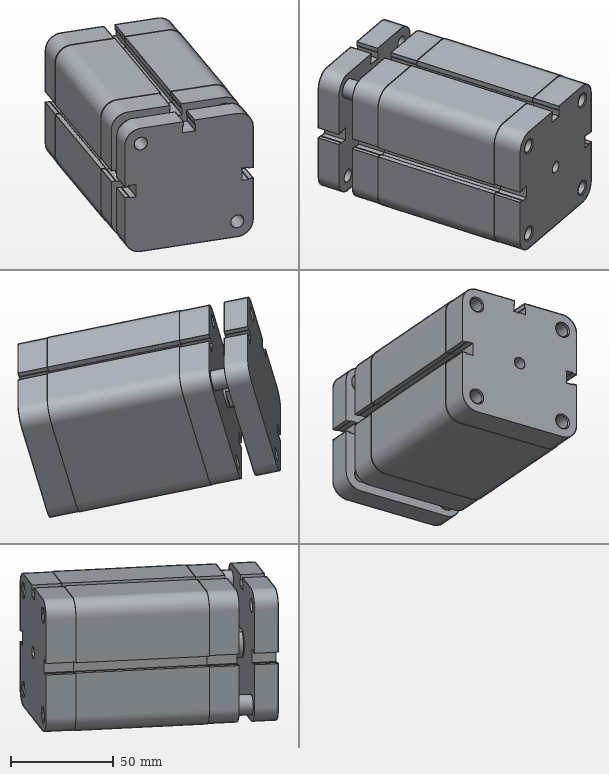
import cadquery as cq


total_length = 115.5
cap_length = 14.8
plate_length = 11.9
gap_length = 7.6
housing_length = total_length - plate_length - gap_length
tube_length = housing_length - 2 * cap_length
front_cap_start = cap_length + tube_length
plate_start = housing_length + gap_length

tube_width = 67.0
cap_inset = 0.2
cap_width = tube_width - 2 * cap_inset
corner_pitch = 50.0
corner_offset = corner_pitch / 2

groove_width = 6.6
groove_floor = tube_width / 2 - 6.1
lip_floor = tube_width / 2 - 2.7
cap_lip_width = 5.8
tube_lip_width = 5.2

hole_diameter = 6.8
hole_chamfer = 0.6
center_hole_diameter = 6.0

piston_diameter = 16.0
piston_end_chamfer = 0.6
flat_start = 1.3
across_flats = 13.0
guide_diameter = 10.0

guide_corners = [(corner_offset, corner_offset), (-corner_offset, -corner_offset)]
through_corners = [(-corner_offset, corner_offset), (corner_offset, -corner_offset)]


def section_plane(x):
    """Plane across the stroke axis: its local axes are Y and Z and its normal is +X."""
    return cq.Workplane("YZ", origin=(x, 0, 0))


def groove(x, length, lip_width):
    """Cutter for one T-shaped groove in the top side."""
    wide_height = lip_floor - groove_floor
    wide_center = (lip_floor + groove_floor) / 2
    wide_part = section_plane(x).center(0, wide_center).rect(groove_width, wide_height).extrude(length)
    neck_height = tube_width / 2 - groove_floor
    neck_center = (tube_width / 2 + groove_floor) / 2
    neck = section_plane(x).center(0, neck_center).rect(lip_width, neck_height).extrude(length)
    return wide_part.union(neck)


def grooved_block(x, length, width, lip_width):
    """Rounded square block, its corner arcs centered on the corner places, with three grooves."""
    corner_radius = width / 2 - corner_offset
    block = section_plane(x).rect(width, width).extrude(length).edges("|X").fillet(corner_radius)
    cutter = groove(x, length, lip_width)
    for angle in (-90, 0, 90):
        block = block.cut(cutter.rotate((0, 0, 0), (1, 0, 0), angle))
    return block


def cut_through_holes(block, x, length):
    """Cut the two through holes from a block that starts at x."""
    holes = section_plane(x).pushPoints(through_corners).circle(hole_diameter / 2).extrude(length)
    return block.cut(holes)


def make_rear_cap():
    """Rear cap with four chamfered corner holes and a plain center hole."""
    corners = through_corners + guide_corners
    corner_holes = section_plane(0).pushPoints(corners).circle(hole_diameter / 2).extrude(cap_length)
    chamfers = (
        section_plane(0)
        .pushPoints(corners)
        .circle(hole_diameter / 2 + hole_chamfer)
        .extrude(hole_chamfer, taper=45)
    )
    center_hole = section_plane(0).circle(center_hole_diameter / 2).extrude(cap_length)
    cap = grooved_block(0, cap_length, cap_width, cap_lip_width)
    return cap.cut(corner_holes).cut(chamfers).cut(center_hole)


def make_tube():
    """Tube between the caps."""
    tube = grooved_block(cap_length, tube_length, tube_width, tube_lip_width)
    return cut_through_holes(tube, cap_length, tube_length)


def make_front_cap():
    """Front cap, the face the guide rods and the piston rod come out of."""
    cap = grooved_block(front_cap_start, cap_length, cap_width, cap_lip_width)
    return cut_through_holes(cap, front_cap_start, cap_length)


def make_yoke():
    """Yoke plate with its two guide rods, which reach back across the gap."""
    plate = grooved_block(plate_start, plate_length, cap_width, cap_lip_width)
    plate = cut_through_holes(plate, plate_start, plate_length)
    guide_rods = (
        section_plane(housing_length).pushPoints(guide_corners).circle(guide_diameter / 2).extrude(gap_length)
    )
    return plate.union(guide_rods)


def make_piston_rod():
    """Piston rod across the gap, with wrench flats at top and bottom."""
    rod = section_plane(housing_length).circle(piston_diameter / 2).extrude(gap_length)
    rod = rod.faces(">X").chamfer(piston_end_chamfer)
    flats_length = gap_length - flat_start
    flats = (
        section_plane(housing_length + flat_start)
        .rect(2 * piston_diameter, 2 * piston_diameter)
        .rect(2 * piston_diameter, across_flats)
        .extrude(flats_length)
    )
    return rod.cut(flats)


rear_cap = make_rear_cap()
tube = make_tube()
front_cap = make_front_cap()
yoke = make_yoke()
piston_rod = make_piston_rod()

result = cq.Compound.makeCompound(
    [rear_cap.val(), tube.val(), front_cap.val(), yoke.val(), piston_rod.val()]
)